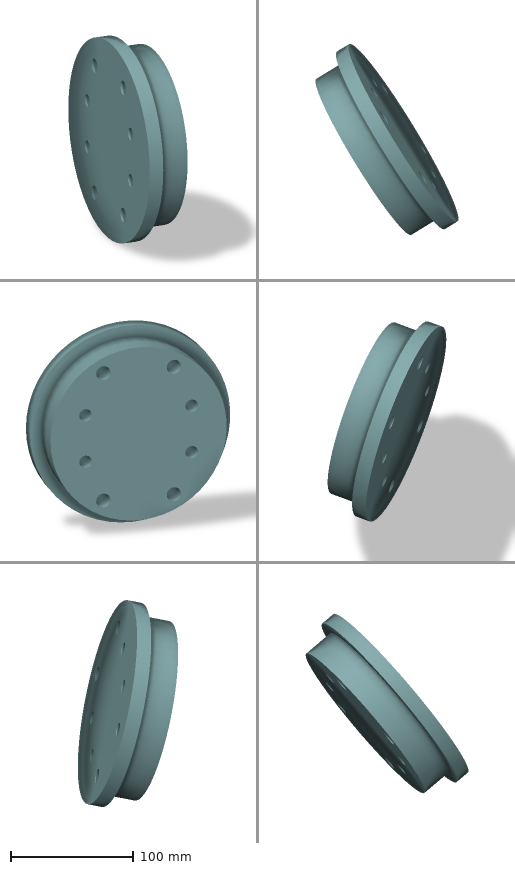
import cadquery as cq

flange_diameter = 170.0
flange_thickness = 12.0
boss_diameter = 149.5
total_depth = 38.0
boss_depth = total_depth - flange_thickness

outer_hole_diameter = 12.0
outer_hole_x = 30.0
outer_hole_z = 55.0
inner_hole_diameter = 10.5
inner_hole_x = 45.0
inner_hole_z = 20.0


def disc(diameter, front_y, depth):
    """Round disc growing toward +Y from its front face."""
    plane = cq.Workplane("XZ", origin=(0, front_y, 0))
    return plane.circle(diameter / 2).extrude(-depth)


def four_holes(body, diameter, x, z):
    """Cut four through holes at the corners of a rectangle centred on the axis."""
    corners = cq.Workplane("XZ").rect(2 * x, 2 * z, forConstruction=True).vertices()
    return body.cut(corners.circle(diameter / 2).extrude(-total_depth))


flange = disc(flange_diameter, 0, flange_thickness)
boss = disc(boss_diameter, flange_thickness, boss_depth)
body = flange.union(boss)

body = four_holes(body, outer_hole_diameter, outer_hole_x, outer_hole_z)
result = four_holes(body, inner_hole_diameter, inner_hole_x, inner_hole_z)